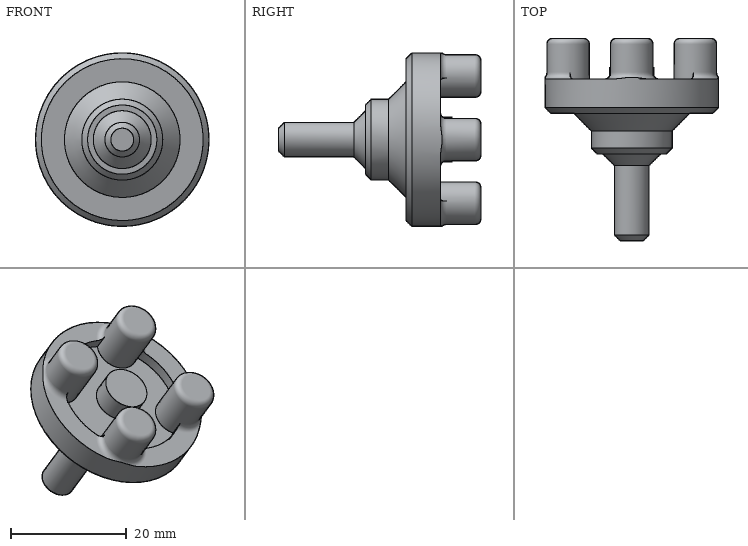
import cadquery as cq

overall_length = 35.0
pin_height = 7.0
disk_thickness = 6.0
flare_length = 3.0
collar_length = 4.0
neck_length = 2.0
edge_size = 1.0

disk_diameter = 30.0
flare_diameter = 20.0
collar_diameter = 14.0
neck_diameter = 10.0
shaft_diameter = 6.0

recess_diameter = 22.5
recess_depth = 2.0
boss_diameter = 7.77
boss_height = 2.0
pin_diameter = 7.4
pin_circle_radius = 11.0
pin_count = 4

disk_front = -disk_thickness
collar_rear = disk_front - flare_length
collar_front = collar_rear - collar_length
shaft_rear = collar_front - neck_length
shaft_front = pin_height - overall_length


def revolve_about_y(profile):
    return profile.close().revolve(360, (0, 0, 0), (0, 1, 0))


def cylinder(diameter, start, end):
    """Cylinder on the Y axis between two Y positions."""
    return cq.Workplane("XZ", origin=(0, start, 0)).circle(diameter / 2).extrude(start - end)


def turned_body():
    disk_radius = disk_diameter / 2
    collar_radius = collar_diameter / 2
    shaft_radius = shaft_diameter / 2
    profile = cq.Workplane("XY").polyline([
        (0, 0),
        (disk_radius, 0),
        (disk_radius, disk_front + edge_size),
        (disk_radius - edge_size, disk_front),
        (flare_diameter / 2, disk_front),
        (collar_radius, collar_rear),
        (collar_radius, collar_front + edge_size),
        (collar_radius - edge_size, collar_front),
        (neck_diameter / 2, collar_front),
        (shaft_radius, shaft_rear),
        (shaft_radius, shaft_front + edge_size),
        (shaft_radius - edge_size, shaft_front),
        (0, shaft_front),
    ])
    return revolve_about_y(profile)


def drive_pin():
    """Pin standing on the recess floor, with a rounded tip."""
    return cylinder(pin_diameter, -recess_depth, pin_height).faces(">Y").edges().fillet(edge_size)


def pin_foot():
    """Concave round where a pin meets the rim face."""
    radius = pin_diameter / 2
    profile = (
        cq.Workplane("XY")
        .lineTo(radius + edge_size, 0)
        .radiusArc((radius, edge_size), edge_size)
        .lineTo(0, edge_size)
    )
    return revolve_about_y(profile)


body = turned_body().cut(cylinder(recess_diameter, -recess_depth, 0))
body = body.union(cylinder(boss_diameter, -recess_depth, boss_height))

rim = cylinder(disk_diameter, 0, edge_size).cut(cylinder(recess_diameter, 0, edge_size))
pin_offset = (pin_circle_radius, 0, 0)
foot = pin_foot().translate(pin_offset).intersect(rim)
pin = drive_pin().translate(pin_offset).union(foot)
for index in range(pin_count):
    body = body.union(pin.rotate((0, 0, 0), (0, 1, 0), index * 360 / pin_count))

result = body